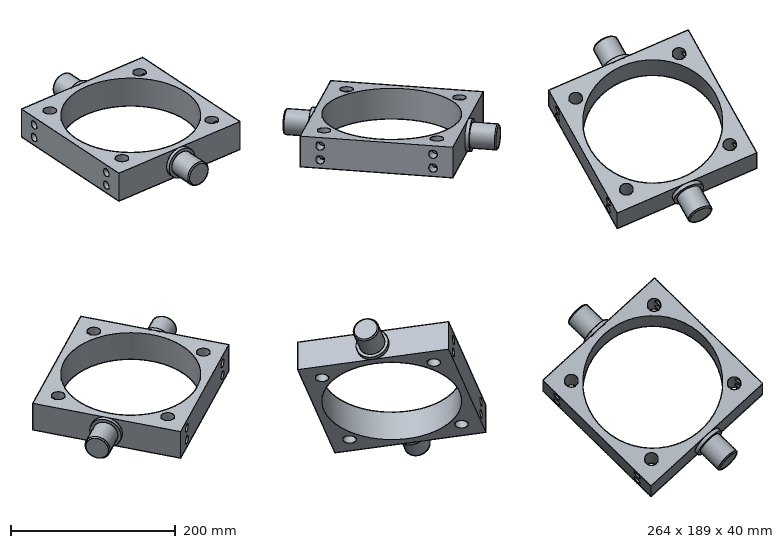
import cadquery as cq

overall_length = 264.0
frame_side = 189.0
thickness = 40.0
bore_diameter = 170.0

bolt_spacing = 140.0
bolt_diameter = 16.5

side_hole_diameter = 10.5
side_hole_pitch = 18.0
side_hole_depth = (frame_side - bolt_spacing) / 2

collar_diameter = thickness
collar_width = 5.0
pin_diameter = 32.0
pin_chamfer = 1.5
trunnion_length = (overall_length - frame_side) / 2


def make_frame():
    """Square plate centred on the origin with its bore and corner holes."""
    return (
        cq.Workplane("XY")
        .box(frame_side, frame_side, thickness)
        .faces(">Z").workplane()
        .hole(bore_diameter)
        .faces(">Z").workplane()
        .rect(bolt_spacing, bolt_spacing, forConstruction=True)
        .vertices()
        .hole(bolt_diameter)
    )


def make_trunnion(direction):
    """Collar and chamfered pin pointing along +X (1) or -X (-1)."""
    plane = cq.Plane(
        origin=(direction * frame_side / 2, 0, 0),
        xDir=(0, 1, 0),
        normal=(direction, 0, 0),
    )
    collar = cq.Workplane(plane).circle(collar_diameter / 2).extrude(collar_width)
    pin = (
        cq.Workplane(plane)
        .circle(pin_diameter / 2)
        .extrude(trunnion_length)
        .faces(">X" if direction > 0 else "<X")
        .chamfer(pin_chamfer)
    )
    return collar.union(pin)


def make_side_holes():
    """Four cylinders entering the front (-Y) face, down to the bolt hole axes."""
    return (
        cq.Workplane("XZ", origin=(0, -frame_side / 2, 0))
        .rect(bolt_spacing, side_hole_pitch, forConstruction=True)
        .vertices()
        .circle(side_hole_diameter / 2)
        .extrude(-side_hole_depth)
    )


front_holes = make_side_holes()
back_holes = front_holes.mirror("XZ")

result = make_frame().cut(front_holes).cut(back_holes)
for side in (-1, 1):
    result = result.union(make_trunnion(side))